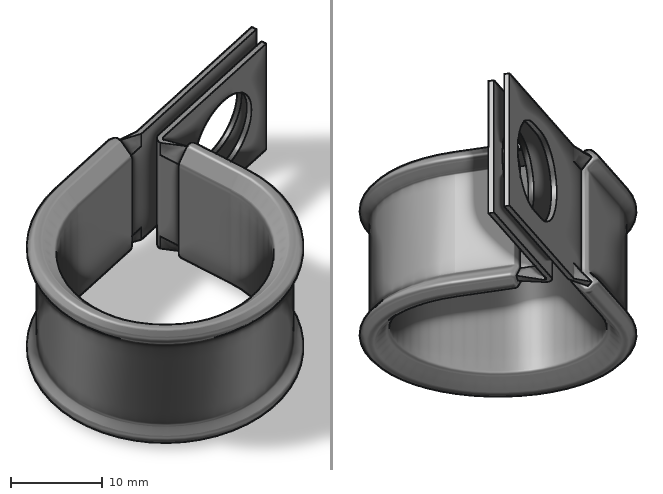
import cadquery as cq
import math


strap_thickness = 0.64
strap_width = 15.88
strap_inner_radius = 12.73
strap_outer_radius = strap_inner_radius + strap_thickness
bend_inner_radius = 0.3
bend_outer_radius = bend_inner_radius + strap_thickness

tab_gap = 1.6
outer_tab_end = 33.71
inner_tab_end = 32.5
inner_tab_left = -strap_inner_radius + tab_gap
inner_tab_right = inner_tab_left + strap_thickness
hole_center_y = 24.63
hole_diameter = 10.35
slot_length = 12.7

flare_start_z = 6.1
flare_rise = 1.2
outer_flare_length = 2.45

cushion_height = 17.25
cushion_inner_radius = 11.93
cushion_outer_radius = 14.13
rim_thickness = 2.13
rim_outer_radius = 15.21
rim_corner_radius = 0.75
inner_fold_radius = 0.8
outer_fold_radius = 0.5
end_rounding = 0.5
outer_run_length = 10.2
inner_run_length = 7.35
loop_angle = 270
embed_depth = 1.0


def cushion_profile():
    """Channel section in (radius, Z): a flat web with rims flared outward at 45 degrees."""
    half_height = cushion_height / 2
    corner_overshoot = (math.sqrt(2) - 1) * rim_corner_radius
    tip_outer_r = rim_outer_radius + corner_overshoot
    tip_inner_z = half_height + corner_overshoot
    tip_shift = rim_thickness / math.sqrt(2)
    tip_outer_z = tip_inner_z - tip_shift
    tip_inner_r = tip_outer_r - tip_shift
    inner_fold_z = tip_inner_z - (tip_inner_r - cushion_inner_radius)
    outer_fold_z = tip_outer_z - (tip_outer_r - cushion_outer_radius)

    upper = [
        (cushion_inner_radius, inner_fold_z),
        (tip_inner_r, tip_inner_z),
        (tip_outer_r, tip_outer_z),
        (cushion_outer_radius, outer_fold_z),
    ]
    lower = [(r, -z) for r, z in reversed(upper)]
    outer_folds = cq.selectors.BoxSelector(
        (cushion_outer_radius - outer_fold_radius, -outer_fold_z - outer_fold_radius, -1),
        (cushion_outer_radius + outer_fold_radius, outer_fold_z + outer_fold_radius, 1),
    )
    return (
        cq.Sketch()
        .polygon(upper + lower + upper[:1])
        .vertices("<X")
        .fillet(inner_fold_radius)
        .reset()
        .vertices(outer_folds)
        .fillet(outer_fold_radius)
        .reset()
        .vertices(">X or >Y or <Y")
        .fillet(rim_corner_radius)
        .reset()
    )


def make_cushion():
    """Loop plus the two straight runs, each with a rounded free end."""
    section = cq.Workplane("XZ").placeSketch(cushion_profile())
    loop = section.revolve(loop_angle, (0, 0, 0), (0, 1, 0))
    loop = loop.rotate((0, 0, 0), (0, 0, 1), 180)
    outer_run = section.extrude(outer_run_length).faces("<Y").edges().fillet(end_rounding)
    outer_run = outer_run.rotate((0, 0, 0), (0, 0, 1), 180)
    inner_run = section.extrude(-inner_run_length).faces(">Y").edges().fillet(end_rounding)
    inner_run = inner_run.rotate((0, 0, 0), (0, 0, 1), 90)
    return loop.union(outer_run).union(inner_run)


def plate(x_min, x_max, y_min, y_max, half_height):
    """Rectangular plate centred on Z = 0."""
    return cq.Workplane("XY").box(
        x_max - x_min, y_max - y_min, 2 * half_height, centered=False
    ).translate((x_min, y_min, -half_height))


def make_flares(cushion_end, length):
    """Strap edges that twist from flat to a 45 degree flare, for a strap lying along +Y at +X."""
    half_width = strap_width / 2
    slant = strap_thickness / math.sqrt(2)
    tip_radius = strap_outer_radius + flare_rise
    flat_section = [
        (strap_inner_radius, flare_start_z),
        (strap_inner_radius, half_width),
        (strap_outer_radius, half_width),
        (strap_outer_radius, flare_start_z),
    ]
    flared_section = [
        (strap_inner_radius, flare_start_z),
        (tip_radius - slant, half_width),
        (tip_radius, half_width - slant),
        (strap_outer_radius, flare_start_z),
    ]
    upper = (
        cq.Workplane("XZ", origin=(0, cushion_end + length, 0))
        .polyline(flat_section)
        .close()
        .workplane(offset=length)
        .polyline(flared_section)
        .close()
        .loft(ruled=True)
    )
    buried = (
        cq.Workplane("XZ", origin=(0, cushion_end, 0))
        .polyline(flared_section)
        .close()
        .extrude(embed_depth)
    )
    upper = upper.union(buried)
    return upper.union(upper.mirror("XY"))


def make_outer_tab():
    """Straight tab with a slot, joined to the outer run by its flared edges."""
    flat_start = outer_run_length + outer_flare_length
    x_range = (-strap_outer_radius, -strap_inner_radius)
    tab = plate(*x_range, flat_start, outer_tab_end, strap_width / 2)
    neck = plate(*x_range, outer_run_length - embed_depth, flat_start, flare_start_z)
    slot = (
        cq.Workplane("YZ", origin=(-strap_outer_radius, 0, 0))
        .center(hole_center_y, 0)
        .slot2D(slot_length, hole_diameter)
        .extrude(strap_thickness)
    )
    flares = make_flares(outer_run_length, outer_flare_length).mirror("YZ")
    return tab.cut(slot).union(neck).union(flares)


def make_inner_tab():
    """Tab with a round hole, bent up from the strap that leaves the inner run."""
    bend_end_x = inner_tab_left + bend_outer_radius
    flare_length = -inner_run_length - bend_end_x
    tab = (
        cq.Workplane("XY", origin=(0, 0, -strap_width / 2))
        .moveTo(bend_end_x, strap_inner_radius)
        .radiusArc((inner_tab_left, strap_inner_radius + bend_outer_radius), bend_outer_radius)
        .lineTo(inner_tab_left, inner_tab_end)
        .lineTo(inner_tab_right, inner_tab_end)
        .lineTo(inner_tab_right, strap_inner_radius + bend_outer_radius)
        .radiusArc((bend_end_x, strap_outer_radius), -bend_inner_radius)
        .close()
        .extrude(strap_width)
    )
    hole = (
        cq.Workplane("YZ", origin=(inner_tab_left, 0, 0))
        .center(hole_center_y, 0)
        .circle(hole_diameter / 2)
        .extrude(strap_thickness)
    )
    neck = plate(
        bend_end_x, embed_depth - inner_run_length,
        strap_inner_radius, strap_outer_radius, flare_start_z,
    )
    flares = make_flares(inner_run_length, flare_length).rotate((0, 0, 0), (0, 0, 1), 90)
    return tab.cut(hole).union(neck).union(flares)


result = make_cushion().union(make_outer_tab()).union(make_inner_tab())